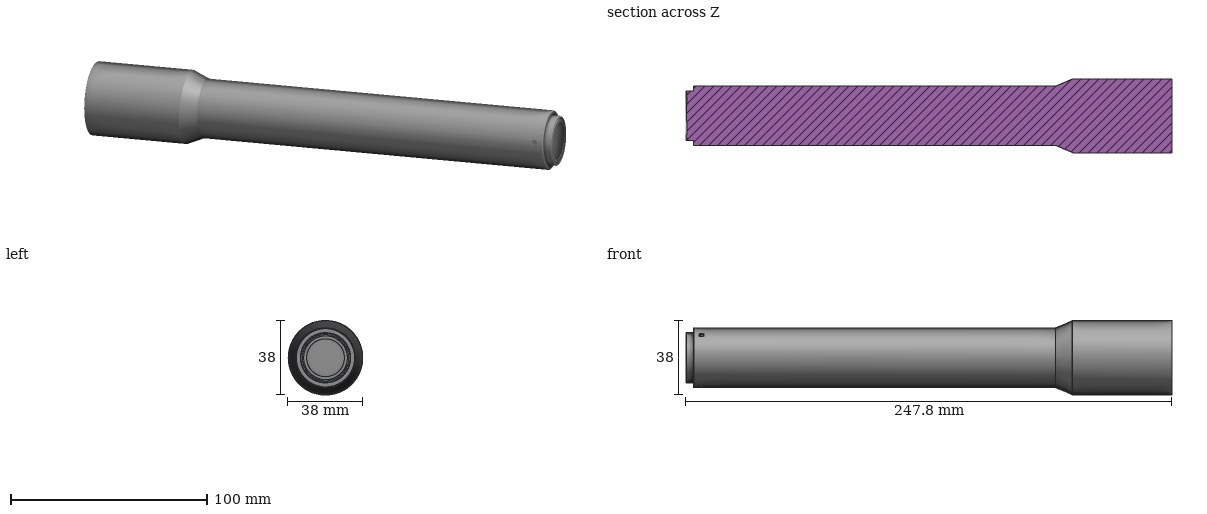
import cadquery as cq
import math

total_length = 247.83
x_front = -total_length / 2

nose_diameter = 25.6
tube_diameter = 30.5
head_diameter = 38.0

tube_start = 3.8
cone_start = 188.5
head_start = 197.1

nose_chamfer = 0.3
tube_chamfer = 0.4
head_chamfer = 0.2

groove_outer_diameter = 23.6
groove_inner_diameter = 22.3
groove_depth = 0.5

window_diameter = 19.3
window_recess = 0.5
window_dome_height = 0.2

screw_hole_count = 3
screw_hole_diameter = 2.5
screw_hole_depth = 0.9
screw_hole_position = 8.1
screw_hole_first_angle = 10.0


def turned_body():
    """Revolve the outside shape together with the domed window."""
    nose_radius = nose_diameter / 2
    tube_radius = tube_diameter / 2
    head_radius = head_diameter / 2
    window_radius = window_diameter / 2
    dome_radius = (window_radius**2 + window_dome_height**2) / (2 * window_dome_height)
    dome_crest = window_recess - window_dome_height
    half_way = window_radius / 2
    half_way_x = dome_crest + dome_radius - math.sqrt(dome_radius**2 - half_way**2)

    profile = (
        cq.Workplane("XY")
        .moveTo(dome_crest, 0)
        .threePointArc((half_way_x, half_way), (window_recess, window_radius))
        .lineTo(0, window_radius)
        .lineTo(0, nose_radius - nose_chamfer)
        .lineTo(nose_chamfer, nose_radius)
        .lineTo(tube_start, nose_radius)
        .lineTo(tube_start, tube_radius - tube_chamfer)
        .lineTo(tube_start + tube_chamfer, tube_radius)
        .lineTo(cone_start, tube_radius)
        .lineTo(head_start - head_chamfer, head_radius - head_chamfer)
        .lineTo(head_start, head_radius)
        .lineTo(total_length - head_chamfer, head_radius)
        .lineTo(total_length, head_radius - head_chamfer)
        .lineTo(total_length, 0)
        .close()
    )
    return profile.revolve(360, (0, 0, 0), (1, 0, 0)).translate((x_front, 0, 0))


def front_groove():
    """Ring cut into the front face, around the window."""
    return (
        cq.Workplane("YZ", origin=(x_front, 0, 0))
        .circle(groove_outer_diameter / 2)
        .circle(groove_inner_diameter / 2)
        .extrude(groove_depth)
    )


def screw_hole(angle):
    """Radial flat-bottomed hole, turned from +Y towards +Z by the angle in degrees."""
    hole_floor = tube_diameter / 2 - screw_hole_depth
    hole = (
        cq.Workplane("XZ", origin=(x_front + screw_hole_position, hole_floor, 0))
        .circle(screw_hole_diameter / 2)
        .extrude(-2 * screw_hole_depth)
    )
    return hole.rotate((0, 0, 0), (1, 0, 0), angle)


result = turned_body().cut(front_groove())
for index in range(screw_hole_count):
    angle = screw_hole_first_angle + index * 360 / screw_hole_count
    result = result.cut(screw_hole(angle))